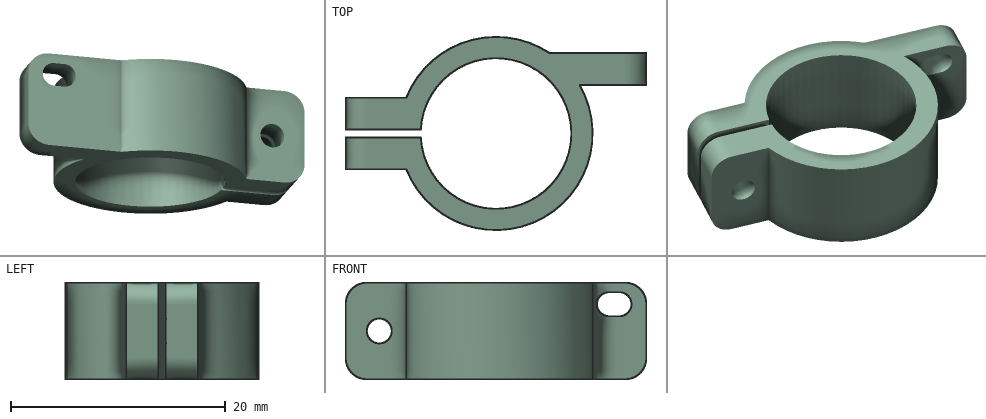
import cadquery as cq

height = 9.0
outer_diameter = 18.0
bore_diameter = 14.0

reach = 14.0
lug_thickness = 3.0
corner_radius = 2.0

gap_width = 0.7
screw_hole_diameter = 2.3
screw_hole_x = -10.85

arm_front_y = 4.5
slot_length = 3.2
slot_width = 2.2
slot_x = 11.0
slot_z = 2.5


def plate(x_end, y_front, thickness):
    """Upright plate from the ring axis to x_end, its two end corners rounded."""
    end_face = ">X" if x_end > 0 else "<X"
    return (
        cq.Workplane("XY")
        .box(abs(x_end), thickness, height)
        .translate((x_end / 2, y_front + thickness / 2, 0))
        .faces(end_face)
        .edges("|Y")
        .fillet(corner_radius)
    )


def cylinder(diameter):
    """Upright cylinder of full part height on the ring axis."""
    return cq.Workplane("XY").circle(diameter / 2).extrude(height / 2, both=True)


ears_width = 2 * lug_thickness + gap_width
ears = plate(-reach, -ears_width / 2, ears_width)
arm = plate(reach, arm_front_y, lug_thickness)

gap = cq.Workplane("XY").box(reach, gap_width, height).translate((-reach / 2, 0, 0))

screw_hole = (
    cq.Workplane("XZ")
    .center(screw_hole_x, 0)
    .circle(screw_hole_diameter / 2)
    .extrude(ears_width / 2, both=True)
)

slot = (
    cq.Workplane("XZ", origin=(0, arm_front_y, 0))
    .center(slot_x, slot_z)
    .slot2D(slot_length, slot_width)
    .extrude(-lug_thickness)
)

result = (
    cylinder(outer_diameter)
    .union(ears)
    .union(arm)
    .cut(cylinder(bore_diameter))
    .cut(gap)
    .cut(screw_hole)
    .cut(slot)
)